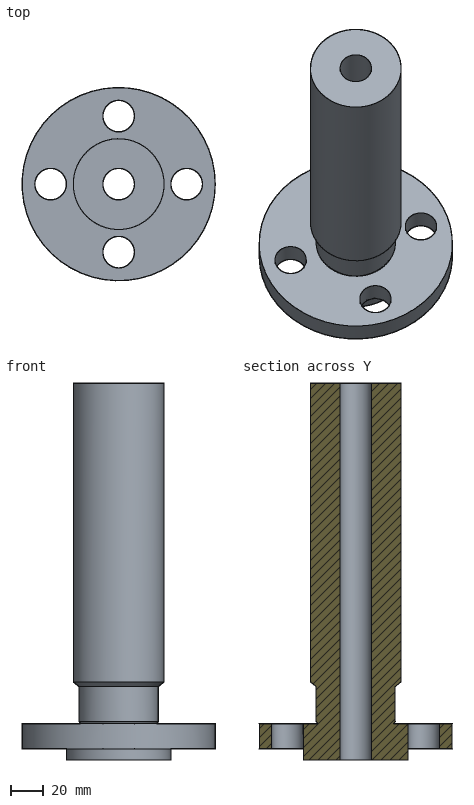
import cadquery as cq

total_length = 228.5
flange_diameter = 117.3
flange_thickness = 15.3

face_diameter = 63.5
face_height = 6.9

neck_diameter = 48.2
neck_taper_height = 1.1
neck_taper_inset = 1.0

barrel_diameter = 55.0
shoulder_bottom_z = 44.5
shoulder_height = 2.7

bore_diameter = 19.0
bolt_hole_diameter = 19.0
bolt_circle_diameter = 82.5
bolt_hole_count = 4

flange_top_z = face_height + flange_thickness
neck_bottom_z = flange_top_z + neck_taper_height
barrel_bottom_z = shoulder_bottom_z + shoulder_height

flange_radius = flange_diameter / 2
face_radius = face_diameter / 2
neck_radius = neck_diameter / 2
neck_foot_radius = neck_radius - neck_taper_inset
barrel_radius = barrel_diameter / 2


def turned_body():
    """Revolve the half outline (radius, height) about the Z axis."""
    outline = [
        (0, 0),
        (face_radius, 0),
        (face_radius, face_height),
        (flange_radius, face_height),
        (flange_radius, flange_top_z),
        (neck_foot_radius, flange_top_z),
        (neck_radius, neck_bottom_z),
        (neck_radius, shoulder_bottom_z),
        (barrel_radius, barrel_bottom_z),
        (barrel_radius, total_length),
        (0, total_length),
    ]
    return cq.Workplane("XZ").polyline(outline).close().revolve(360, (0, 0), (0, 1))


def bore():
    """Straight bore through the full length."""
    return cq.Workplane("XY").circle(bore_diameter / 2).extrude(total_length)


def bolt_holes():
    """Bolt holes through the flange, starting on the X axis."""
    return (
        cq.Workplane("XY")
        .workplane(offset=face_height)
        .polarArray(bolt_circle_diameter / 2, 0, 360, bolt_hole_count)
        .circle(bolt_hole_diameter / 2)
        .extrude(flange_thickness)
    )


result = turned_body().cut(bore()).cut(bolt_holes())